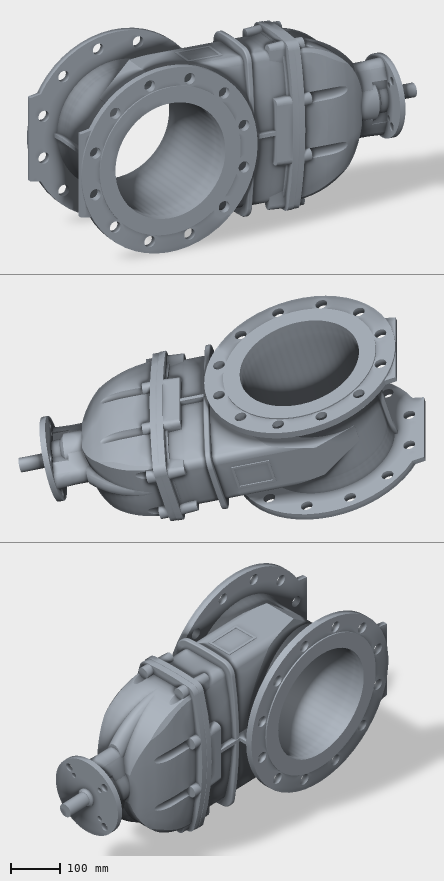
import cadquery as cq
import math

CUT_MARGIN = 10.0

FACE_TO_FACE = 250.0
HALF_LENGTH = FACE_TO_FACE / 2
BORE_DIAMETER = 250.0
PIPE_RADIUS = 133.0
PIPE_STRAIGHT_HALF = 77.5
PIPE_END_RADIUS = 139.0
FLANGE_DIAMETER = 400.0
FLANGE_RADIUS = FLANGE_DIAMETER / 2
FLANGE_THICKNESS = 18.0
RAISED_FACE_DIAMETER = 320.0
RAISED_FACE_HEIGHT = 3.0
FLANGE_BACK = HALF_LENGTH - FLANGE_THICKNESS
FLANGE_HOLES = 12
FLANGE_HOLE_DIAMETER = 24.5
FLANGE_HOLE_CIRCLE = 350.0
FOOT_HALF_WIDTH = 90.5
FOOT_SHOULDER_HALF_WIDTH = 95.0
FOOT_SHOULDER_Y = -176.0
FOOT_THICKNESS = 11.0

WEB_THICKNESS = 8.0
WEB_BOTTOM = 143.0
WEB_BOTTOM_AT_FLANGE = 146.0
WEB_HOLE_X = 90.5
WEB_HOLE_Y = 156.0
WEB_HOLE_DIAMETER = 20.0
NECK_RIB_HALF_WIDTH = 90.0

BODY_HALF_WIDTH = 77.5
BODY_CORNER_HALF_WIDTH = 56.0
BODY_HALF_HEIGHT = 164.5
BODY_CORNER_RADIUS = 17.0
BODY_TIP_HALF_WIDTH = 20.4
BODY_TIP_Y = -88.0
BODY_TIP_HALF_HEIGHT = 100.6
BODY_SLOPE_START_Y = -11.0
BODY_TAPER_START_Y = 168.0
FLARE_HALF_WIDTH = 43.0
FLARE_START_Y = 262.0
FLARE_HEIGHT = 7.0

COLLAR_START_Y = FLANGE_RADIUS
COLLAR_THICKNESS = 11.0
COLLAR_HALF_WIDTH = 89.0
COLLAR_CORNER_HALF_WIDTH = 73.0
COLLAR_HALF_HEIGHT = 186.0
COLLAR_CORNER_HALF_HEIGHT = 181.0
COLLAR_CORNER_RADIUS = 30.0
COLLAR_EDGE_RADIUS = 2.5

FRAME_WIDTH = 58.0
FRAME_BOTTOM_Y = 88.5
FRAME_TOP_Y = 168.0
FRAME_BORDER = 5.0
FRAME_HEIGHT = 2.0

JOINT_BOTTOM_Y = 293.0
JOINT_SPLIT_Y = 306.0
JOINT_TOP_Y = 320.0
JOINT_HALF_WIDTH = 100.0
JOINT_CORNER_HALF_WIDTH = 73.0
JOINT_HALF_HEIGHT = 186.3
JOINT_CORNER_HALF_HEIGHT = 182.5
JOINT_CORNER_RADIUS = 20.0
UPPER_JOINT_INSET = 0.8
JOINT_LIP_INSET = 15.0
JOINT_LIP_HEIGHT = 5.0

BOLT_HEAD_DIAMETER = 26.0
BOLT_HEAD_HEIGHT = 17.5
END_BOLT_X = 50.0
END_BOLT_Z = 169.0
SIDE_BOLT_X = 83.0
SIDE_BOLT_Z = 61.0
END_BOLTS = [(sx * END_BOLT_X, sz * END_BOLT_Z) for sx in (-1, 1) for sz in (-1, 1)]
SIDE_BOLTS = [(sx * SIDE_BOLT_X, sz * SIDE_BOLT_Z) for sx in (-1, 1) for sz in (-1, 1)]
BOLT_BOSS_LENGTH = 34.0
BOLT_BOSS_RADIUS = 12.5
BOLT_BOSS_TAPER = 4.0
END_BOSS_DEPTH = 30.0
SPOT_GROOVE_DIAMETER = 24.0
SPOT_GROOVE_LENGTH = 110.0

DOME_HALF_WIDTH = 82.0
DOME_CORNER_HALF_WIDTH = 68.0
DOME_RADIUS = 164.0
DOME_CENTER_Y = 316.0
DOME_SIDE_RADIUS = 149.0
DOME_SIDE_START_Y = 380.0
DOME_TOP_Y = 476.0
DOME_SHOULDER_HALF_WIDTH = 64.0
DOME_SHOULDER_DROP = 22.0

RIDGE_RADIUS = 20.0
RIDGE_OUTER_RADIUS = 212.0
RIDGE_CENTER_Y = 313.0
RIDGE_CENTER_Z = -48.0
RIDGE_TOP_Y = 474.5

YOKE_BOTTOM_Y = 465.0
YOKE_WINDOW_Y = 508.0
YOKE_TOP_Y = 542.0
YOKE_WINDOW_HALF_HEIGHT = 46.0
YOKE_ROOT_Z = 32.0
YOKE_ROOT_HALF_WIDTH = 34.0
YOKE_NOSE_Z = 70.0
YOKE_NOSE_HALF_WIDTH = 18.0
YOKE_HALF_HEIGHT = 81.0
YOKE_DRAFT = 3.0
YOKE_CORE_HALF_WIDTH = 26.0
GLAND_BASE_DIAMETER = 93.0
GLAND_DIAMETER = 73.0
GLAND_SHOULDER_Y = 516.0
GLAND_TOP_Y = 525.0

ACTUATOR_FLANGE_DIAMETER = 175.0
ACTUATOR_FLANGE_TOP_Y = 554.0
ACTUATOR_HOLES = 4
ACTUATOR_FIRST_HOLE_ANGLE = 45.0
ACTUATOR_HOLE_PATTERNS = [(140.0, 18.0), (102.0, 12.0)]
STEM_DIAMETER = 30.0
STEM_TOP_Y = 617.0
STEM_COLLAR_DIAMETER = 40.0
STEM_COLLAR_TOP_Y = 562.0
STEM_COLLAR_CHAMFER = 4.0


def plane_at(y):
    """Workplane across the stem axis at height y, with local axes X and Z."""
    return cq.Workplane("XZ", origin=(0, y, 0))


def along_y(sketch, length):
    """Extrude a sketch made on plane_at() towards +Y."""
    return sketch.extrude(-length)


def cylinder_y(diameter, y0, y1, points=((0, 0),)):
    """Cylinders along Y from y0 to y1, centred on (x, z) points."""
    return along_y(plane_at(y0).pushPoints(points).circle(diameter / 2), y1 - y0)


def bulged_block(half_width, corner_x, half_height, corner_z, corner_radius, y0, y1):
    """Block along Y with rounded corners, bowed sides and, where taller than its corners, bowed ends."""
    outline = (
        plane_at(y0)
        .moveTo(corner_x, -corner_z)
        .threePointArc((half_width, 0), (corner_x, corner_z))
    )
    if half_height > corner_z:
        outline = outline.threePointArc((0, half_height), (-corner_x, corner_z))
    else:
        outline = outline.lineTo(-corner_x, corner_z)
    outline = outline.threePointArc((-half_width, 0), (-corner_x, -corner_z))
    if half_height > corner_z:
        outline = outline.threePointArc((0, -half_height), (corner_x, -corner_z))
    block = along_y(outline.close(), y1 - y0)
    return block.edges("|Y").fillet(corner_radius)


def make_pipe_end(side):
    """Flared pipe end, flange, raised face and foot on one side of the valve."""
    flare_depth = FLANGE_BACK - PIPE_STRAIGHT_HALF
    flare_middle_radius = PIPE_RADIUS + (PIPE_END_RADIUS - PIPE_RADIUS) / 4
    rim = HALF_LENGTH - RAISED_FACE_HEIGHT
    end = (
        cq.Workplane("XY")
        .moveTo(0, 0)
        .lineTo(0, PIPE_RADIUS)
        .lineTo(PIPE_STRAIGHT_HALF, PIPE_RADIUS)
        .threePointArc(
            (PIPE_STRAIGHT_HALF + flare_depth / 2, flare_middle_radius),
            (FLANGE_BACK, PIPE_END_RADIUS),
        )
        .lineTo(FLANGE_BACK, FLANGE_RADIUS)
        .lineTo(rim, FLANGE_RADIUS)
        .lineTo(rim, RAISED_FACE_DIAMETER / 2)
        .lineTo(HALF_LENGTH, RAISED_FACE_DIAMETER / 2)
        .lineTo(HALF_LENGTH, 0)
        .close()
        .revolve(360, (0, 0, 0), (1, 0, 0))
    )
    foot = (
        cq.Workplane("YZ", origin=(FLANGE_BACK, 0, 0))
        .moveTo(-PIPE_END_RADIUS, -FOOT_SHOULDER_HALF_WIDTH)
        .lineTo(FOOT_SHOULDER_Y, -FOOT_SHOULDER_HALF_WIDTH)
        .lineTo(-FLANGE_RADIUS, -FOOT_HALF_WIDTH)
        .lineTo(-FLANGE_RADIUS, FOOT_HALF_WIDTH)
        .lineTo(FOOT_SHOULDER_Y, FOOT_SHOULDER_HALF_WIDTH)
        .lineTo(-PIPE_END_RADIUS, FOOT_SHOULDER_HALF_WIDTH)
        .close()
        .extrude(FOOT_THICKNESS)
    )
    end = end.union(foot)
    return end if side > 0 else end.mirror("YZ")


def make_web():
    """Flat web around the pipe, with lifting holes, and the narrow rib above the collar."""
    web = (
        cq.Workplane("XY")
        .moveTo(-FLANGE_BACK, FLANGE_RADIUS)
        .lineTo(FLANGE_BACK, FLANGE_RADIUS)
        .lineTo(FLANGE_BACK, -WEB_BOTTOM_AT_FLANGE)
        .lineTo(PIPE_STRAIGHT_HALF, -WEB_BOTTOM)
        .lineTo(-PIPE_STRAIGHT_HALF, -WEB_BOTTOM)
        .lineTo(-FLANGE_BACK, -WEB_BOTTOM_AT_FLANGE)
        .close()
        .extrude(WEB_THICKNESS / 2, both=True)
    )
    holes = (
        cq.Workplane("XY")
        .pushPoints([(-WEB_HOLE_X, WEB_HOLE_Y), (WEB_HOLE_X, WEB_HOLE_Y)])
        .circle(WEB_HOLE_DIAMETER / 2)
        .extrude(WEB_THICKNESS, both=True)
    )
    neck_rib_length = JOINT_BOTTOM_Y - COLLAR_START_Y
    neck_rib = cq.Workplane("XY").box(2 * NECK_RIB_HALF_WIDTH, neck_rib_length, WEB_THICKNESS)
    neck_rib = neck_rib.translate((0, COLLAR_START_Y + neck_rib_length / 2, 0))
    return web.cut(holes).union(neck_rib)


def make_body():
    """Bow-sided body, narrowed to a wedge over the pipe and sloped down to it at the tip."""
    section = bulged_block(
        BODY_HALF_WIDTH, BODY_CORNER_HALF_WIDTH, BODY_HALF_HEIGHT, BODY_HALF_HEIGHT,
        BODY_CORNER_RADIUS, BODY_TIP_Y, JOINT_BOTTOM_Y,
    )
    plan = (
        cq.Workplane("XY")
        .moveTo(-BODY_TIP_HALF_WIDTH, BODY_TIP_Y)
        .lineTo(BODY_TIP_HALF_WIDTH, BODY_TIP_Y)
        .lineTo(BODY_HALF_WIDTH, BODY_TAPER_START_Y)
        .lineTo(BODY_HALF_WIDTH, JOINT_BOTTOM_Y)
        .lineTo(-BODY_HALF_WIDTH, JOINT_BOTTOM_Y)
        .lineTo(-BODY_HALF_WIDTH, BODY_TAPER_START_Y)
        .close()
        .extrude(BODY_HALF_HEIGHT, both=True)
    )
    elevation = (
        cq.Workplane("YZ")
        .moveTo(BODY_TIP_Y, -BODY_TIP_HALF_HEIGHT)
        .lineTo(BODY_SLOPE_START_Y, -BODY_HALF_HEIGHT)
        .lineTo(JOINT_BOTTOM_Y, -BODY_HALF_HEIGHT)
        .lineTo(JOINT_BOTTOM_Y, BODY_HALF_HEIGHT)
        .lineTo(BODY_SLOPE_START_Y, BODY_HALF_HEIGHT)
        .lineTo(BODY_TIP_Y, BODY_TIP_HALF_HEIGHT)
        .close()
        .extrude(BODY_HALF_WIDTH, both=True)
    )
    flare_tip = BODY_HALF_HEIGHT + FLARE_HEIGHT
    flare_middle_y = (FLARE_START_Y + JOINT_BOTTOM_Y) / 2
    flare_middle = BODY_HALF_HEIGHT + FLARE_HEIGHT / 4
    flare = (
        cq.Workplane("YZ")
        .moveTo(FLARE_START_Y, -BODY_HALF_HEIGHT)
        .threePointArc((flare_middle_y, -flare_middle), (JOINT_BOTTOM_Y, -flare_tip))
        .lineTo(JOINT_BOTTOM_Y, flare_tip)
        .threePointArc((flare_middle_y, flare_middle), (FLARE_START_Y, BODY_HALF_HEIGHT))
        .close()
        .extrude(FLARE_HALF_WIDTH, both=True)
    )
    return section.intersect(plan).intersect(elevation).union(flare)


def make_collar():
    """Round-edged collar around the body just above the pipe flanges."""
    collar = bulged_block(
        COLLAR_HALF_WIDTH, COLLAR_CORNER_HALF_WIDTH, COLLAR_HALF_HEIGHT,
        COLLAR_CORNER_HALF_HEIGHT, COLLAR_CORNER_RADIUS,
        COLLAR_START_Y, COLLAR_START_Y + COLLAR_THICKNESS,
    )
    return collar.faces("<Y or >Y").edges().fillet(COLLAR_EDGE_RADIUS)


def make_frame(side):
    """Raised rectangular frame on the body face at the given Z side."""
    length = FRAME_TOP_Y - FRAME_BOTTOM_Y
    root = BODY_HALF_HEIGHT - FRAME_HEIGHT
    return (
        cq.Workplane("XY", origin=(0, FRAME_BOTTOM_Y + length / 2, side * root))
        .rect(FRAME_WIDTH, length)
        .rect(FRAME_WIDTH - 2 * FRAME_BORDER, length - 2 * FRAME_BORDER)
        .extrude(side * 2 * FRAME_HEIGHT)
    )


def make_joint():
    """Two joint plates between body and bonnet, with a lip and tapered bolt bosses below them."""
    lower = bulged_block(
        JOINT_HALF_WIDTH, JOINT_CORNER_HALF_WIDTH, JOINT_HALF_HEIGHT,
        JOINT_CORNER_HALF_HEIGHT, JOINT_CORNER_RADIUS, JOINT_BOTTOM_Y, JOINT_SPLIT_Y,
    )
    upper = bulged_block(
        JOINT_HALF_WIDTH - UPPER_JOINT_INSET, JOINT_CORNER_HALF_WIDTH - UPPER_JOINT_INSET,
        JOINT_HALF_HEIGHT - UPPER_JOINT_INSET, JOINT_CORNER_HALF_HEIGHT - UPPER_JOINT_INSET,
        JOINT_CORNER_RADIUS, JOINT_SPLIT_Y, JOINT_TOP_Y,
    )
    lip = bulged_block(
        JOINT_HALF_WIDTH - JOINT_LIP_INSET, JOINT_CORNER_HALF_WIDTH - JOINT_LIP_INSET,
        JOINT_HALF_HEIGHT - JOINT_LIP_INSET, JOINT_CORNER_HALF_HEIGHT - JOINT_LIP_INSET,
        JOINT_CORNER_RADIUS, JOINT_BOTTOM_Y - JOINT_LIP_HEIGHT, JOINT_BOTTOM_Y,
    )
    boss_centers = [(x, z - math.copysign(END_BOSS_DEPTH / 2, z)) for x, z in END_BOLTS]
    end_bosses = (
        plane_at(JOINT_BOTTOM_Y)
        .pushPoints(boss_centers)
        .slot2D(END_BOSS_DEPTH + 2 * BOLT_BOSS_RADIUS, 2 * BOLT_BOSS_RADIUS, 90)
        .extrude(BOLT_BOSS_LENGTH, taper=BOLT_BOSS_TAPER)
    )
    side_boss_outline = (
        cq.Sketch()
        .rect(2 * (SIDE_BOLT_X + BOLT_BOSS_RADIUS), 2 * (SIDE_BOLT_Z + BOLT_BOSS_RADIUS))
        .vertices()
        .fillet(BOLT_BOSS_RADIUS)
    )
    side_bosses = (
        plane_at(JOINT_BOTTOM_Y)
        .placeSketch(side_boss_outline)
        .extrude(BOLT_BOSS_LENGTH, taper=BOLT_BOSS_TAPER)
    )
    return upper.union(lower).union(lip).union(end_bosses).union(side_bosses)


def make_dome_side():
    """Everything inside the bowed +X wall of the dome, which arches inwards towards its top."""
    axis_x = DOME_HALF_WIDTH - DOME_SIDE_RADIUS

    def wall_section():
        """Section from the arching axis out to the bowed wall, where the arching starts."""
        return (
            plane_at(DOME_SIDE_START_Y)
            .moveTo(axis_x, -DOME_RADIUS)
            .lineTo(DOME_CORNER_HALF_WIDTH, -DOME_RADIUS)
            .threePointArc((DOME_HALF_WIDTH, 0), (DOME_CORNER_HALF_WIDTH, DOME_RADIUS))
            .lineTo(axis_x, DOME_RADIUS)
            .close()
        )

    straight = wall_section().extrude(DOME_SIDE_START_Y - JOINT_TOP_Y)
    arched = wall_section().revolve(90, (axis_x, 0, 0), (axis_x, 1, 0))
    far_side = along_y(
        plane_at(JOINT_TOP_Y)
        .center(axis_x - DOME_HALF_WIDTH / 2, 0)
        .rect(DOME_HALF_WIDTH, 2 * DOME_RADIUS),
        DOME_TOP_Y - JOINT_TOP_Y,
    )
    return straight.union(arched).union(far_side)


def make_dome():
    """Bonnet dome: a drum about X with sloped shoulders between two arched walls, with bolt grooves."""
    edge_radius = DOME_RADIUS - DOME_SHOULDER_DROP
    drum = (
        cq.Workplane("XY", origin=(0, DOME_CENTER_Y, 0))
        .moveTo(-DOME_HALF_WIDTH, 0)
        .lineTo(-DOME_HALF_WIDTH, edge_radius)
        .lineTo(-DOME_SHOULDER_HALF_WIDTH, DOME_RADIUS)
        .lineTo(DOME_SHOULDER_HALF_WIDTH, DOME_RADIUS)
        .lineTo(DOME_HALF_WIDTH, edge_radius)
        .lineTo(DOME_HALF_WIDTH, 0)
        .close()
        .revolve(360, (0, 0, 0), (1, 0, 0))
    )
    grooves = cylinder_y(
        SPOT_GROOVE_DIAMETER, JOINT_TOP_Y, JOINT_TOP_Y + SPOT_GROOVE_LENGTH, END_BOLTS + SIDE_BOLTS
    )
    height = DOME_TOP_Y - JOINT_TOP_Y
    kept = along_y(plane_at(JOINT_TOP_Y).rect(2 * DOME_HALF_WIDTH, 2 * DOME_RADIUS), height)
    side = make_dome_side()
    return drum.intersect(kept).intersect(side).intersect(side.mirror("YZ")).cut(grooves)


def make_ridge():
    """Round-backed ridge curving down the +Z face of the dome from the yoke post."""
    path_radius = RIDGE_OUTER_RADIUS - RIDGE_RADIUS
    ring = (
        cq.Workplane("XY", origin=(0, RIDGE_CENTER_Y + path_radius, RIDGE_CENTER_Z))
        .circle(RIDGE_RADIUS)
        .revolve(90, (0, -path_radius, 0), (1, -path_radius, 0))
    )
    limit = plane_at(JOINT_TOP_Y).rect(2 * RIDGE_RADIUS, 2 * FLANGE_RADIUS)
    return ring.intersect(along_y(limit, RIDGE_TOP_Y - JOINT_TOP_Y))


def yoke_outline(y):
    """Outline of the yoke across Y: tapering towards a round nose on both Z sides."""
    return (
        plane_at(y)
        .moveTo(YOKE_ROOT_HALF_WIDTH, -YOKE_ROOT_Z)
        .lineTo(YOKE_ROOT_HALF_WIDTH, YOKE_ROOT_Z)
        .lineTo(YOKE_NOSE_HALF_WIDTH, YOKE_NOSE_Z)
        .threePointArc((0, YOKE_HALF_HEIGHT), (-YOKE_NOSE_HALF_WIDTH, YOKE_NOSE_Z))
        .lineTo(-YOKE_ROOT_HALF_WIDTH, YOKE_ROOT_Z)
        .lineTo(-YOKE_ROOT_HALF_WIDTH, -YOKE_ROOT_Z)
        .lineTo(-YOKE_NOSE_HALF_WIDTH, -YOKE_NOSE_Z)
        .threePointArc((0, -YOKE_HALF_HEIGHT), (YOKE_NOSE_HALF_WIDTH, -YOKE_NOSE_Z))
        .close()
    )


def make_yoke():
    """Yoke carrying the actuator flange: solid foot, two drafted posts and a core between them."""
    foot = along_y(yoke_outline(YOKE_BOTTOM_Y), YOKE_WINDOW_Y - YOKE_BOTTOM_Y)
    post_height = YOKE_TOP_Y - YOKE_WINDOW_Y
    posts = yoke_outline(YOKE_WINDOW_Y).extrude(-post_height, taper=-YOKE_DRAFT)
    window = plane_at(YOKE_WINDOW_Y).rect(GLAND_BASE_DIAMETER, 2 * YOKE_WINDOW_HALF_HEIGHT)
    posts = posts.cut(along_y(window, post_height))
    core = plane_at(YOKE_WINDOW_Y).rect(2 * YOKE_CORE_HALF_WIDTH, 2 * YOKE_WINDOW_HALF_HEIGHT)
    return foot.union(posts).union(along_y(core, post_height))


def make_gland():
    """Round gland in the yoke window: wide base, conical shoulder and narrower top."""
    return (
        cq.Workplane("XY")
        .moveTo(0, YOKE_BOTTOM_Y)
        .lineTo(GLAND_BASE_DIAMETER / 2, YOKE_BOTTOM_Y)
        .lineTo(GLAND_BASE_DIAMETER / 2, GLAND_SHOULDER_Y)
        .lineTo(GLAND_DIAMETER / 2, GLAND_TOP_Y)
        .lineTo(GLAND_DIAMETER / 2, YOKE_TOP_Y)
        .lineTo(0, YOKE_TOP_Y)
        .close()
        .revolve(360, (0, 0, 0), (0, 1, 0))
    )


def make_actuator_mount():
    """Drilled actuator flange with the stem and its collar."""
    flange = cylinder_y(ACTUATOR_FLANGE_DIAMETER, YOKE_TOP_Y, ACTUATOR_FLANGE_TOP_Y)
    for circle, diameter in ACTUATOR_HOLE_PATTERNS:
        holes = (
            plane_at(YOKE_TOP_Y)
            .polarArray(circle / 2, ACTUATOR_FIRST_HOLE_ANGLE, 360, ACTUATOR_HOLES)
            .circle(diameter / 2)
        )
        flange = flange.cut(along_y(holes, ACTUATOR_FLANGE_TOP_Y - YOKE_TOP_Y))
    collar = cylinder_y(STEM_COLLAR_DIAMETER, ACTUATOR_FLANGE_TOP_Y, STEM_COLLAR_TOP_Y)
    collar = collar.faces(">Y").edges().chamfer(STEM_COLLAR_CHAMFER)
    stem = cylinder_y(STEM_DIAMETER, YOKE_TOP_Y, STEM_TOP_Y)
    return flange.union(collar).union(stem)


def make_pipe_cutters():
    """Through bore and the bolt holes of both pipe flanges."""
    bore = (
        cq.Workplane("YZ", origin=(-HALF_LENGTH - CUT_MARGIN, 0, 0))
        .circle(BORE_DIAMETER / 2)
        .extrude(FACE_TO_FACE + 2 * CUT_MARGIN)
    )
    cutters = [bore]
    first_angle = 180 / FLANGE_HOLES
    for start in (-HALF_LENGTH, FLANGE_BACK):
        holes = (
            cq.Workplane("YZ", origin=(start, 0, 0))
            .polarArray(FLANGE_HOLE_CIRCLE / 2, first_angle, 360, FLANGE_HOLES)
            .circle(FLANGE_HOLE_DIAMETER / 2)
            .extrude(FLANGE_THICKNESS)
        )
        cutters.append(holes)
    return cutters


result = make_pipe_end(1).union(make_pipe_end(-1))
result = result.union(make_web())
result = result.union(make_body())
result = result.union(make_collar())
result = result.union(make_joint())
result = result.union(make_dome())
for z_side in (-1, 1):
    result = result.union(make_frame(z_side))
ridge = make_ridge()
result = result.union(ridge).union(ridge.mirror("XY"))
bolt_head_top_y = JOINT_TOP_Y + BOLT_HEAD_HEIGHT
bolt_heads = cylinder_y(BOLT_HEAD_DIAMETER, JOINT_TOP_Y, bolt_head_top_y, END_BOLTS + SIDE_BOLTS)
result = result.union(bolt_heads)
result = result.union(make_yoke())
result = result.union(make_gland())
result = result.union(make_actuator_mount())
for cutter in make_pipe_cutters():
    result = result.cut(cutter)